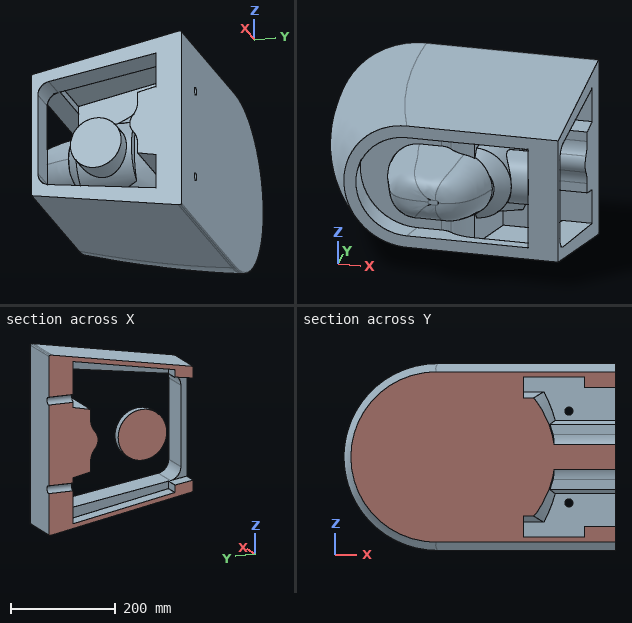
import cadquery as cq
import math


WALL_X = 260.0
TIP_X = -260.0
BODY_HEIGHT = 301.0
RIM_HEIGHT = 6.0
RIM_ROUND = 2.0
BASE_TIP_X = -164.5
BASE_HALF_WIDTH = 124.5
RIM_WIDTH = 358.0
RIM_HALF_WIDTH = RIM_WIDTH / 2
FRONT_BULGE = 72.5
SKIN_TOP = BODY_HEIGHT - RIM_HEIGHT
SKIN_SECTIONS = 4
SIDE_SLOPE = (RIM_HALF_WIDTH - BASE_HALF_WIDTH) / SKIN_TOP

WALL_THICKNESS = 24.0
OPENING_HALF = BASE_HALF_WIDTH - WALL_THICKNESS
OPENING_CENTER_X = -40.0
OPENING_REAR_X = 200.0
FRONT_DEPTH = 75.5
FRONT_DEPTH_HALF = 112.0
OPENING_SLOPE = (FRONT_DEPTH_HALF - OPENING_HALF) / FRONT_DEPTH
STEP_START_X = 8.5
STEP_BEND_X = 29.5
STEP_END_X = 83.5

DECK_Y = 249.5
POCKET_HALF = 114.5
BAR_THICKNESS = 13.0
BAR_FILLET = 25.5
LIP_DEPTH = BAR_THICKNESS + BAR_FILLET

CHANNEL_Y = 213.0
CHANNEL_HALF_BOTTOM = 62.5
CHANNEL_HALF_TOP = 70.0
INLET_HALF = 43.0
INLET_BEND_HALF = 16.5
INLET_DROP = 15.5

BOLT_X = 170.5
BOLT_Z = 88.0
BOLT_DIAMETER = 14.5

BOWL_LOW_Y = 83.0
BOWL_LOW_HALF = 78.0
BOWL_LOW_APEX_X = 114.5
BOWL_LOW_CORNER_X = 44.0
BOWL_TOP_HALF = 124.5
BOWL_TOP_APEX_X = 154.0
BOWL_TOP_CORNER_X = 122.5

TRAP_SECTIONS = [
    (83.0, -90.5, 124.0, 61.0),
    (41.5, -89.5, 122.5, 61.0),
    (0.0, -76.0, 112.5, 55.5),
    (-32.5, -64.0, 98.5, 48.5),
    (-55.0, -44.5, 79.0, 37.0),
    (-65.0, -16.5, 56.5, 21.0),
    (-67.0, 20.5, 40.5, 4.5),
]

COLLAR_X = 80.5
COLLAR_RADIUS = 71.5
COLLAR_LOW_RADIUS = 43.5
COLLAR_LOW_Y = 31.0
COLLAR_FULL_Y = 54.5
COLLAR_TOP_Y = 166.0
OUTLET_Y = 105.5
OUTLET_RADIUS = 51.0
OUTLET_END_X = 186.0


def level(y):
    """Workplane at height y whose local axes are X and Z and whose normal is -Y."""
    return cq.Workplane(cq.Plane(origin=(0, y, 0), xDir=(1, 0, 0), normal=(0, -1, 0)))


def d_outline(y, tip_x, half, rear_x):
    """Straight sides and rear, with a half-round front."""
    center_x = tip_x + half
    return (
        level(y).moveTo(rear_x, half).lineTo(center_x, half)
        .threePointArc((tip_x, 0), (center_x, -half)).lineTo(rear_x, -half).close()
    )


def skin(outlines, ruled=False):
    wires = [outline.val() for outline in outlines]
    return cq.Workplane(cq.Solid.makeLoft(wires, ruled))


def casing():
    outlines = []
    for i in range(SKIN_SECTIONS):
        t = i / (SKIN_SECTIONS - 1)
        tip_x = BASE_TIP_X + (TIP_X - BASE_TIP_X) * t - FRONT_BULGE * t * (1 - t)
        y = t * SKIN_TOP
        outlines.append(d_outline(y, tip_x, BASE_HALF_WIDTH + SIDE_SLOPE * y, WALL_X))
    rim = d_outline(SKIN_TOP, TIP_X, RIM_HALF_WIDTH, WALL_X).extrude(-RIM_HEIGHT)
    rim = rim.faces(">Y").edges("not >X").fillet(RIM_ROUND)
    return skin(outlines).union(rim)


def s_curve(sketch, start, bend_fraction, end):
    """Two tangent arcs from start to end, both flat along the first axis at their outer ends."""
    run = end[0] - start[0]
    rise = end[1] - start[1]
    turn = 2 * math.atan2(abs(rise), abs(run))
    half_height = math.tan(turn / 4)
    bend = (start[0] + bend_fraction * run, start[1] + bend_fraction * rise)

    def arc_middle(flat, share):
        chord_run = run * share * math.sin(turn / 2) / math.sin(turn)
        return (flat[0] + chord_run, flat[1] + math.copysign(abs(chord_run) * half_height, rise * share))

    return (
        sketch.threePointArc(arc_middle(start, bend_fraction), bend)
        .threePointArc(arc_middle(end, bend_fraction - 1), end)
    )


def front_cavity():
    opening = skin([
        d_outline(0, OPENING_CENTER_X - OPENING_HALF, OPENING_HALF, OPENING_REAR_X),
        d_outline(FRONT_DEPTH, OPENING_CENTER_X - FRONT_DEPTH_HALF, FRONT_DEPTH_HALF, OPENING_REAR_X),
    ], ruled=True)
    bend_fraction = (STEP_BEND_X - STEP_START_X) / (STEP_END_X - STEP_START_X)
    profile = cq.Workplane("XY").moveTo(TIP_X, 0).lineTo(TIP_X, FRONT_DEPTH).lineTo(STEP_START_X, FRONT_DEPTH)
    profile = s_curve(profile, (STEP_START_X, FRONT_DEPTH), bend_fraction, (STEP_END_X, LIP_DEPTH))
    profile = profile.lineTo(WALL_X, LIP_DEPTH).lineTo(WALL_X, 0).close()
    return opening.intersect(profile.extrude(RIM_HALF_WIDTH, both=True))


def tapered_slot(front_x, rear_x, low_y, base_half, slope):
    """Hollow from low_y up to the deck whose half width is base_half at Y = 0."""
    low_half = base_half + slope * low_y
    top_half = base_half + slope * DECK_Y
    section = [(low_y, -low_half), (low_y, low_half), (DECK_Y, top_half), (DECK_Y, -top_half)]
    return cq.Workplane("YZ", origin=(front_x, 0, 0)).polyline(section).close().extrude(rear_x - front_x)


def rear_hollow():
    pocket = tapered_slot(STEP_END_X, OPENING_REAR_X, LIP_DEPTH, POCKET_HALF, SIDE_SLOPE)
    outlet_bay = tapered_slot(OPENING_REAR_X, WALL_X, BAR_THICKNESS, OPENING_HALF, OPENING_SLOPE)
    outlet_bay = outlet_bay.faces("<Y").edges("|X").fillet(BAR_FILLET)
    return pocket.union(outlet_bay)


def flush_channel():
    length = WALL_X - STEP_END_X
    section = cq.Workplane("ZY", origin=(WALL_X, 0, 0))
    ridge = section.polyline([
        (-CHANNEL_HALF_BOTTOM, CHANNEL_Y), (CHANNEL_HALF_BOTTOM, CHANNEL_Y),
        (CHANNEL_HALF_TOP, DECK_Y), (-CHANNEL_HALF_TOP, DECK_Y),
    ]).close().extrude(length)
    bend_fraction = 1 - INLET_BEND_HALF / INLET_HALF
    low_point = (0, CHANNEL_Y - INLET_DROP)
    inlet = section.moveTo(-INLET_HALF, CHANNEL_Y)
    inlet = s_curve(inlet, (-INLET_HALF, CHANNEL_Y), bend_fraction, low_point)
    inlet = s_curve(inlet, low_point, 1 - bend_fraction, (INLET_HALF, CHANNEL_Y))
    return ridge.union(inlet.close().extrude(length))


def bowl_underside():
    def outline(y, corner_x, apex_x, half):
        return (
            level(y).moveTo(STEP_START_X, half).lineTo(corner_x, half)
            .threePointArc((apex_x, 0), (corner_x, -half)).lineTo(STEP_START_X, -half).close()
        )

    return skin([
        outline(BOWL_LOW_Y, BOWL_LOW_CORNER_X, BOWL_LOW_APEX_X, BOWL_LOW_HALF),
        outline(DECK_Y, BOWL_TOP_CORNER_X, BOWL_TOP_APEX_X, BOWL_TOP_HALF),
    ], ruled=True)


def trap():
    """Smooth stack of half slots, mirrored across Z = 0."""
    outlines = []
    for y, front_x, rear_x, half in TRAP_SECTIONS:
        corner = half * math.sqrt(0.5)
        front_center = front_x + half
        rear_center = rear_x - half
        outlines.append(
            level(y).moveTo(front_x, 0)
            .threePointArc((front_center - corner, corner), (front_center, half))
            .lineTo(rear_center, half)
            .threePointArc((rear_center + corner, corner), (rear_x, 0))
            .close()
        )
    half_trap = skin(outlines)
    return half_trap.union(half_trap.mirror("XY"))


def outlet():
    collar = cq.Workplane("XY").polyline([
        (COLLAR_X, COLLAR_LOW_Y), (COLLAR_X + COLLAR_LOW_RADIUS, COLLAR_LOW_Y),
        (COLLAR_X + COLLAR_RADIUS, COLLAR_FULL_Y), (COLLAR_X + COLLAR_RADIUS, COLLAR_TOP_Y),
        (COLLAR_X, COLLAR_TOP_Y),
    ]).close().revolve(360, (COLLAR_X, 0), (COLLAR_X, 1))
    pipe = cq.Workplane("YZ", origin=(COLLAR_X, 0, 0)).center(OUTLET_Y, 0).circle(OUTLET_RADIUS)
    return collar.union(pipe.extrude(OUTLET_END_X - COLLAR_X))


def bolt_holes():
    points = [(BOLT_X, -BOLT_Z), (BOLT_X, BOLT_Z)]
    return level(BODY_HEIGHT).pushPoints(points).circle(BOLT_DIAMETER / 2).extrude(BODY_HEIGHT - CHANNEL_Y)


result = casing().cut(front_cavity()).cut(rear_hollow())
result = result.union(flush_channel()).union(bowl_underside()).union(outlet()).union(trap())
result = result.cut(bolt_holes())